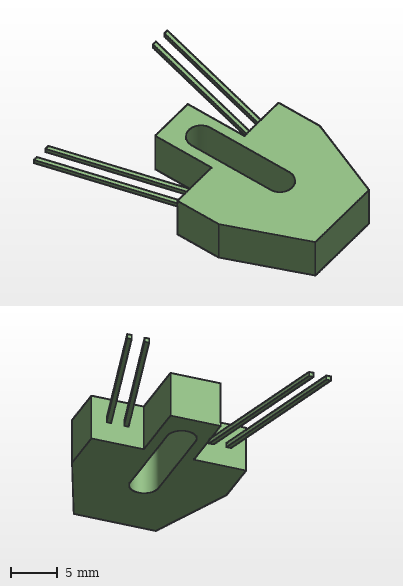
import cadquery as cq
import math

total_length = 32.5
lead_span = 23.55
thickness = 5.33

tongue_start = 9.52
shoulder_x = 17.12
taper_start = 22.68
tongue_width = 5.78
body_width = 17.87
end_width = 9.5

slot_start = 11.9
slot_end = 25.73
slot_width = 3.25

lead_size = 0.52
lead_pitch = 2.0
lead_angle = 15.0
leads_per_side = 2


def make_body():
    half_outline = [
        (tongue_start, tongue_width / 2),
        (shoulder_x, tongue_width / 2),
        (shoulder_x, body_width / 2),
        (taper_start, body_width / 2),
        (total_length, end_width / 2),
    ]
    mirrored_outline = [(x, -y) for x, y in reversed(half_outline)]
    outline = half_outline + mirrored_outline
    return cq.Workplane("XY").polyline(outline).close().extrude(thickness / 2, both=True)


def make_slot():
    return (
        cq.Workplane("XY")
        .center((slot_start + slot_end) / 2, 0)
        .slot2D(slot_end - slot_start, slot_width)
        .extrude(thickness / 2, both=True)
    )


def make_lead(tip_outer_y):
    """Lead on the +Y side, with its tip cut square to X and its root on the shoulder."""
    inward_shift = shoulder_x * math.tan(math.radians(lead_angle))
    width_along_y = lead_size / math.cos(math.radians(lead_angle))
    tip_inner_y = tip_outer_y - width_along_y
    outline = [
        (0, tip_outer_y),
        (shoulder_x, tip_outer_y - inward_shift),
        (shoulder_x, tip_inner_y - inward_shift),
        (0, tip_inner_y),
    ]
    return cq.Workplane("XY").polyline(outline).close().extrude(lead_size / 2, both=True)


result = make_body().cut(make_slot())
for index in range(leads_per_side):
    lead = make_lead(lead_span / 2 - index * lead_pitch)
    result = result.union(lead).union(lead.mirror("XZ"))